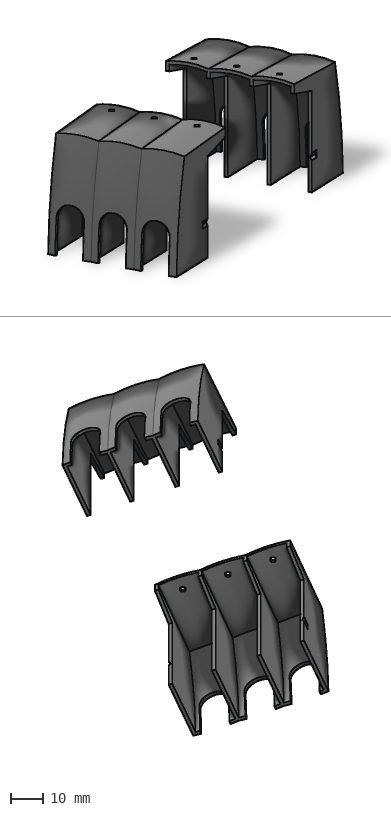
import cadquery as cq
import math


bay_count = 3
bay_pitch = 15.0
cover_width = bay_count * bay_pitch
bay_centers = [(i - (bay_count - 1) / 2) * bay_pitch for i in range(bay_count)]
wall = 1.2

tip_y = 22.5
leg_y = 34.0
arm_tip_z = 35.9
arm_root_z = 33.3

roof_crest_z = 40.01
roof_sag = 0.92
roof_slope = 2.5

foot_valley_y = 54.512
face_sag = 0.4
face_radius = 170.0
face_axis_z = -4.0
face_axis_y = foot_valley_y - math.sqrt(face_radius ** 2 - face_axis_z ** 2)
face_sweep = 45

slot_radius = 4.85
slot_center_z = 12.1

hole_diameter = 1.8
hole_y = 27.0

groove_length = 3.3
groove_bottom_z = 10.5
groove_root_z = 11.5
groove_top_z = 12.9
groove_depth = 0.6

reach = 60.0


def roof_prism(drop):
    """Everything below the arched roof, with the roof lowered by drop."""
    crest = roof_crest_z - drop
    valley = crest - roof_sag
    half_width = cover_width / 2
    outline = cq.Workplane("XZ").moveTo(half_width, -reach).lineTo(half_width, valley)
    for center in reversed(bay_centers):
        outline = outline.threePointArc((center, crest), (center - bay_pitch / 2, valley))
    prism = outline.lineTo(-half_width, -reach).close().extrude(-2 * reach)
    prism = prism.translate((0, -reach, 0))
    return prism.rotate((0, 0, crest), (1, 0, crest), -roof_slope).translate((0, tip_y, 0))


def face_barrels(inset):
    """Everything inside the barrel-shaped outer face, with the face moved in by inset."""
    valley = face_axis_y + face_radius - inset
    crest = valley + face_sag
    half_width = cover_width / 2
    outline = cq.Workplane("XY").moveTo(half_width, 0).lineTo(half_width, valley)
    for center in reversed(bay_centers):
        outline = outline.threePointArc((center, crest), (center - bay_pitch / 2, valley))
    outline = outline.lineTo(-half_width, 0).close()
    barrels = outline.revolve(face_sweep, (0, face_axis_y, 0), (1, face_axis_y, 0))
    return barrels.translate((0, 0, face_axis_z))


def side_prism():
    """Side outline of the walls, open-ended towards the roof and the outer face."""
    return (
        cq.Workplane("YZ")
        .moveTo(leg_y, 0)
        .lineTo(leg_y, arm_root_z)
        .lineTo(tip_y, arm_tip_z)
        .lineTo(tip_y, reach)
        .lineTo(reach, reach)
        .lineTo(reach, 0)
        .close()
        .extrude(cover_width / 2, both=True)
    )


def bay_cavities():
    """Hollow of each bay, between the upright walls and under roof and outer face."""
    edges = [i * bay_pitch - cover_width / 2 for i in range(bay_count + 1)]
    lows = [edges[0] + wall] + [edge + wall / 2 for edge in edges[1:-1]]
    highs = [edge - wall / 2 for edge in edges[1:-1]] + [edges[-1] - wall]
    rooms = cq.Workplane("XY")
    for low, high in zip(lows, highs):
        room = cq.Workplane("XY").box(high - low, reach, reach, centered=False)
        rooms = rooms.add(room.translate((low, 0, 0)))
    return rooms.combine().intersect(roof_prism(wall)).intersect(face_barrels(wall))


def cable_slot(center):
    """Round-topped slot through the outer face, open at the foot."""
    return (
        cq.Workplane("XZ")
        .moveTo(center - slot_radius, 0)
        .lineTo(center - slot_radius, slot_center_z)
        .threePointArc((center, slot_center_z + slot_radius), (center + slot_radius, slot_center_z))
        .lineTo(center + slot_radius, 0)
        .close()
        .extrude(-reach)
    )


def roof_hole(center):
    """Hole straight down through the roof."""
    return (
        cq.Workplane("XY")
        .center(center, hole_y)
        .circle(hole_diameter / 2)
        .extrude(reach)
    )


def wall_groove(side):
    """V-groove in one end wall, running in from the inner edge of the wall."""
    outside = side * cover_width / 2
    return (
        cq.Workplane("XZ", origin=(0, leg_y, 0))
        .moveTo(outside, groove_bottom_z)
        .lineTo(outside - side * groove_depth, groove_root_z)
        .lineTo(outside, groove_top_z)
        .close()
        .extrude(-groove_length)
    )


def terminal_cover():
    """Cover at the +Y end: a hollow shell with slots, holes and grooves."""
    body = side_prism().intersect(roof_prism(0)).intersect(face_barrels(0))
    body = body.cut(bay_cavities())
    for center in bay_centers:
        body = body.cut(cable_slot(center)).cut(roof_hole(center))
    for side in (-1, 1):
        body = body.cut(wall_groove(side))
    return body


rear_cover = terminal_cover()
front_cover = rear_cover.mirror("XZ")

result = cq.Compound.makeCompound([front_cover.solids().val(), rear_cover.solids().val()])